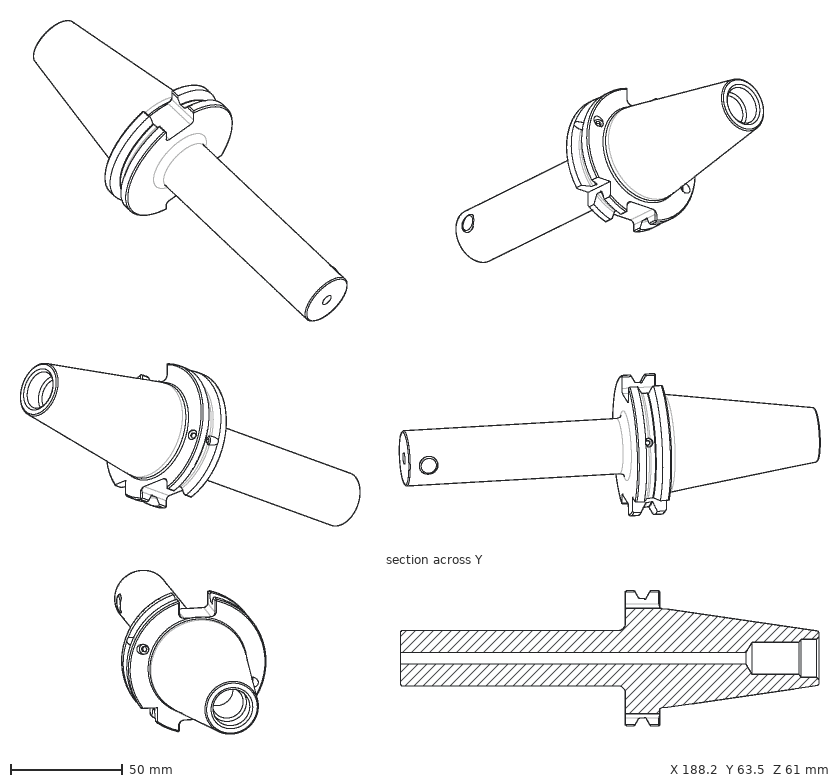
import cadquery as cq
import math

overall_length = 188.2
taper_length = 68.3
taper_start_x = -taper_length
shank_end_x = overall_length - taper_length

gauge_diameter = 44.5
taper_ratio = 7 / 24
end_chamfer = 0.5
collar_flare_length = 1.1
collar_flare_height = 0.5

flange_diameter = 63.5
flange_start_x = 3.2
flange_end_x = 18.8
flange_width = flange_end_x - flange_start_x
flange_chamfer = 0.65

groove_center_x = 11.1
groove_floor_diameter = 56.3
groove_top_width = 7.3
groove_half_angle = 30
groove_fillet = 1.0
relief_width = 0.5
relief_depth = 0.28

slot_width = 16.2
slot_chamfer = 0.65
slot_corner_fillet = 1.9
slot_floor_heights = (22.5, -25.0)
notch_offset = 18.5

shank_diameter = 25.0
shank_fillet = 3.2

pilot_diameter = 17.0
pilot_depth = 8.1
pilot_chamfer = 1.1
thread_diameter = 14.3
thread_lead_in = 1.0
thread_depth = 30.1
drill_tip_angle = 118
coolant_diameter = 5.0

screw_angles = (20, 200)
screw_length = 3.8
screw_recess = 1.9
socket_depth = 1.5
socket_width_ratio = 0.5
face_screw_diameter = 4.5
face_screw_circle_diameter = 53.8
face_screw_tilt = 35
groove_screw_diameter = 4.0
groove_screw_x = 13.0
drill_clearance = 3.8

clamp_screw_diameter = 8.5
clamp_screw_length = 8.0
clamp_screw_chamfer = 0.8
clamp_screw_from_end = 9.0

gauge_radius = gauge_diameter / 2
flange_radius = flange_diameter / 2
groove_floor_radius = groove_floor_diameter / 2
shank_radius = shank_diameter / 2
taper_end_radius = gauge_radius - taper_length * taper_ratio / 2

groove_slope = math.tan(math.radians(groove_half_angle))
groove_top_half = groove_top_width / 2
groove_floor_half = groove_top_half - (flange_radius - groove_floor_radius) * groove_slope


def revolve_about_x(profile):
    return profile.close().revolve(360, (0, 0, 0), (1, 0, 0))


def circular_edge(body, x, radius):
    """The circular edge of a revolved body at a given X and radius."""
    tolerance = 0.002
    found = [
        edge
        for edge in body.edges("%CIRCLE").vals()
        if abs(edge.Center().x - x) < tolerance and abs(edge.radius() - radius) < tolerance
    ]
    return body.newObject(found)


def make_blank():
    """Taper, flange with V-groove, and shank, turned as one piece."""
    relief_floor_radius = groove_floor_radius - relief_depth
    floor_start_x = groove_center_x - groove_floor_half
    floor_end_x = groove_center_x + groove_floor_half
    profile = (
        cq.Workplane("XZ")
        .moveTo(taper_start_x, 0)
        .lineTo(taper_start_x, taper_end_radius)
        .lineTo(0, gauge_radius)
        .lineTo(flange_start_x - collar_flare_length, gauge_radius)
        .lineTo(flange_start_x, gauge_radius + collar_flare_height)
        .lineTo(flange_start_x, flange_radius)
        .lineTo(groove_center_x - groove_top_half, flange_radius)
        .lineTo(floor_start_x + relief_depth * groove_slope, relief_floor_radius)
        .lineTo(floor_start_x + relief_width, relief_floor_radius)
        .lineTo(floor_start_x + relief_width, groove_floor_radius)
        .lineTo(floor_end_x, groove_floor_radius)
        .lineTo(groove_center_x + groove_top_half, flange_radius)
        .lineTo(flange_end_x, flange_radius)
        .lineTo(flange_end_x, shank_radius)
        .lineTo(shank_end_x, shank_radius)
        .lineTo(shank_end_x, 0)
    )
    blank = revolve_about_x(profile)
    blank = circular_edge(blank, taper_start_x, taper_end_radius).chamfer(end_chamfer)
    blank = circular_edge(blank, shank_end_x, shank_radius).chamfer(end_chamfer)
    blank = circular_edge(blank, flange_start_x, flange_radius).chamfer(flange_chamfer)
    blank = circular_edge(blank, flange_end_x, flange_radius).chamfer(flange_chamfer)
    blank = circular_edge(blank, flange_end_x, shank_radius).fillet(shank_fillet)
    return circular_edge(blank, floor_end_x, groove_floor_radius).fillet(groove_fillet)


def make_bore_cutter():
    """Stepped pull-stud bore whose drill-tip cone leads into the through coolant bore."""
    pilot_radius = pilot_diameter / 2
    thread_radius = thread_diameter / 2
    coolant_radius = coolant_diameter / 2
    tip_length = (thread_radius - coolant_radius) / math.tan(math.radians(drill_tip_angle / 2))
    thread_end_x = taper_start_x + thread_depth
    profile = (
        cq.Workplane("XZ")
        .moveTo(taper_start_x, 0)
        .lineTo(taper_start_x, pilot_radius + pilot_chamfer)
        .lineTo(taper_start_x + pilot_chamfer, pilot_radius)
        .lineTo(taper_start_x + pilot_depth, pilot_radius)
        .lineTo(taper_start_x + pilot_depth + thread_lead_in, thread_radius)
        .lineTo(thread_end_x, thread_radius)
        .lineTo(thread_end_x + tip_length, coolant_radius)
        .lineTo(shank_end_x, coolant_radius)
        .lineTo(shank_end_x, 0)
    )
    return revolve_about_x(profile)


def make_slot_cutter(floor_z):
    """Drive slot with rounded floor corners, chamfered along the rim and the taper-side face."""
    floor_height = abs(floor_z)
    depth = flange_radius - floor_height
    chamfered_half_width = slot_width / 2 + slot_chamfer
    rim_z = math.sqrt(flange_radius**2 - chamfered_half_width**2)

    slot = (
        cq.Workplane("XY", origin=(flange_start_x, 0, floor_height))
        .box(flange_width, slot_width, depth, centered=(False, True, False))
        .edges("|X and <Z")
        .fillet(slot_corner_fillet)
    )
    rim_chamfer = (
        cq.Workplane("YZ", origin=(flange_start_x, 0, 0))
        .moveTo(-slot_width / 2, rim_z - slot_chamfer)
        .lineTo(slot_width / 2, rim_z - slot_chamfer)
        .lineTo(chamfered_half_width, rim_z)
        .lineTo(chamfered_half_width, flange_radius)
        .lineTo(-chamfered_half_width, flange_radius)
        .lineTo(-chamfered_half_width, rim_z)
        .close()
        .extrude(flange_width)
    )
    mouth_outline = (
        cq.Sketch()
        .rect(2 * chamfered_half_width, 2 * depth)
        .vertices()
        .fillet(slot_corner_fillet + slot_chamfer)
    )
    mouth_chamfer = (
        cq.Workplane("YZ", origin=(flange_start_x, 0, floor_height + depth))
        .placeSketch(mouth_outline)
        .extrude(slot_chamfer, taper=45)
    )
    cutter = slot.union(rim_chamfer).union(mouth_chamfer)
    return cutter if floor_z > 0 else cutter.mirror("XY")


def make_notch_cutter():
    """Square corner notch through the flange on the +Y, -Z side."""
    size = flange_radius - notch_offset
    return cq.Workplane("XY", origin=(flange_start_x, notch_offset, -flange_radius)).box(
        flange_width, size, size, centered=False
    )


def polar_point(x, radius, angle):
    """Point at a radius from the X axis, at an angle from +Y toward +Z."""
    radians = math.radians(angle)
    return cq.Vector(x, radius * math.cos(radians), radius * math.sin(radians))


def face_screw_plane(angle):
    """Plane on the flange face whose normal leans inward toward the X axis."""
    tilt = math.radians(face_screw_tilt)
    origin = polar_point(flange_start_x, face_screw_circle_diameter / 2, angle)
    return cq.Plane(origin, normal=polar_point(math.cos(tilt), -math.sin(tilt), angle))


def groove_screw_plane(angle):
    """Plane at the groove floor whose normal points straight at the X axis."""
    origin = polar_point(groove_screw_x, groove_floor_radius, angle)
    return cq.Plane(origin, normal=polar_point(0, -1, angle))


def make_screw_hole(plane, diameter):
    """Cutter that starts clear of the surface and ends at the inner end of the screw."""
    return (
        cq.Workplane(plane)
        .workplane(offset=-drill_clearance)
        .circle(diameter / 2)
        .extrude(drill_clearance + screw_recess + screw_length)
    )


def make_set_screw(plane, diameter):
    """Headless screw with a hexagon socket, sunk below the surface."""
    socket_corner_diameter = diameter * socket_width_ratio / math.cos(math.pi / 6)
    outer_end = cq.Workplane(plane).workplane(offset=screw_recess)
    socket = outer_end.polygon(6, socket_corner_diameter).extrude(socket_depth)
    return outer_end.circle(diameter / 2).extrude(screw_length).cut(socket)


def make_clamp_cylinder():
    """Radial cylinder from the +Y side of the shank inward, the size of the clamp screw."""
    center_x = shank_end_x - clamp_screw_from_end
    return (
        cq.Workplane("XZ", origin=(center_x, shank_radius, 0))
        .circle(clamp_screw_diameter / 2)
        .extrude(clamp_screw_length)
    )


def make_clamp_screw():
    return make_clamp_cylinder().faces(">Y").chamfer(clamp_screw_chamfer)


def make_holder():
    holder = make_blank().cut(make_bore_cutter()).cut(make_notch_cutter())
    for floor_z in slot_floor_heights:
        holder = holder.cut(make_slot_cutter(floor_z))
    for angle in screw_angles:
        holder = holder.cut(make_screw_hole(face_screw_plane(angle), face_screw_diameter))
        holder = holder.cut(make_screw_hole(groove_screw_plane(angle), groove_screw_diameter))
    return holder.cut(make_clamp_cylinder())


holder = make_holder()
clamp_screw = make_clamp_screw()
face_screws = []
groove_screws = []
for angle in screw_angles:
    face_screws.append(make_set_screw(face_screw_plane(angle), face_screw_diameter).val())
    groove_screws.append(make_set_screw(groove_screw_plane(angle), groove_screw_diameter).val())

result = cq.Compound.makeCompound([holder.val(), clamp_screw.val(), *face_screws, *groove_screws])